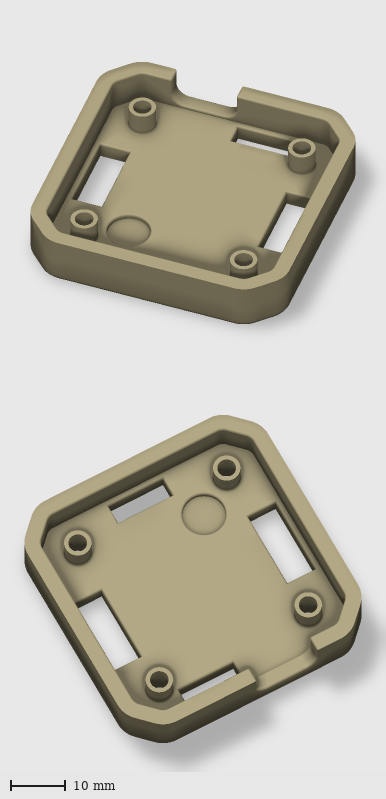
import cadquery as cq
import math

side = 49.9
height = 9.5
wall = 3.0
floor = 3.0
corner_chamfer = 5.75
corner_radius = 5.3
bottom_radius = 1.0
edge_radius = 0.4

outer_half = side / 2
inner_half = outer_half - wall

post_offset = 15.45
post_diameter = 5.0
bore_diameter = 3.4
post_top = 7.5

notch_left = -12.2
notch_width = 12.55
notch_bottom = 3.6
notch_radius = 2.5

side_window_x = 18.05
side_window_y = 0.6
side_window_size = (5.75, 14.95)
end_window_size = (11.35, 3.7)
windows = [
    (-side_window_x, side_window_y, *side_window_size),
    (side_window_x, side_window_y, *side_window_size),
    (6.75, 19.05, *end_window_size),
    (0.45, -19.05, *end_window_size),
]

recess_x = -8.4
recess_y = -11.15
recess_diameter = 8.0
recess_depth = 1.0


def rounded_octagon(inset, bottom, top):
    """Square prism with chamfered, rounded corners, moved inwards by inset."""
    width = side - 2 * inset
    chamfer = corner_chamfer - inset * (2 - math.sqrt(2))
    return (
        cq.Workplane("XY")
        .workplane(offset=bottom)
        .rect(width, width)
        .extrude(top - bottom)
        .edges("|Z")
        .chamfer(chamfer)
        .edges("|Z")
        .fillet(corner_radius - inset)
    )


def edges_in(lower, upper):
    """Selector for the edges centred between two corner points, with a little slack."""
    slack = 0.025
    return cq.selectors.BoxSelector(
        tuple(value - slack for value in lower),
        tuple(value + slack for value in upper),
    )


def make_tray():
    """Open tray with a rounded underside edge."""
    block = rounded_octagon(0, 0, height).faces("<Z").edges().fillet(bottom_radius)
    return block.cut(rounded_octagon(wall, floor, height))


def cut_notch(tray):
    """Cut the cable notch, then round its edges together with the inner rim."""
    notch_right = notch_left + notch_width
    notch = (
        cq.Workplane("XY")
        .box(notch_width, wall, height, centered=False)
        .edges("|Y and <Z")
        .fillet(notch_radius)
        .translate((notch_left, inner_half, notch_bottom))
    )
    inner_profile = edges_in(
        (notch_left, inner_half, notch_bottom), (notch_right, inner_half, height)
    )
    outer_profile = edges_in(
        (notch_left, outer_half, notch_bottom), (notch_right, outer_half, height)
    )
    top_corners = edges_in(
        (notch_left, inner_half, height), (notch_right, outer_half, height)
    )
    inner_rim = edges_in(
        (-inner_half, -inner_half, height), (inner_half, inner_half, height)
    )
    rounded = inner_profile + outer_profile + top_corners + inner_rim
    return tray.cut(notch).edges(rounded).fillet(edge_radius)


def cut_window(tray, x, y, size_x, size_y):
    """Cut a rectangular window through the floor and round its upper edge."""
    opening = cq.Workplane("XY").center(x, y).rect(size_x, size_y).extrude(floor)
    upper_edge = edges_in(
        (x - size_x / 2, y - size_y / 2, floor), (x + size_x / 2, y + size_y / 2, floor)
    )
    return tray.cut(opening).edges(upper_edge).fillet(edge_radius)


def cut_recess(tray):
    """Cut the blind round recess and round its upper edge."""
    pocket = (
        cq.Workplane("XY", origin=(recess_x, recess_y, floor - recess_depth))
        .circle(recess_diameter / 2)
        .extrude(recess_depth)
    )
    radius = recess_diameter / 2
    upper_edge = edges_in(
        (recess_x - radius, recess_y - radius, floor),
        (recess_x + radius, recess_y + radius, floor),
    )
    return tray.cut(pocket).edges(upper_edge).fillet(edge_radius)


def make_post():
    """Post on the Z axis that flares out to meet the floor in a fillet."""
    radius = post_diameter / 2
    flare = radius + edge_radius
    reach = edge_radius * math.sqrt(0.5)
    return (
        cq.Workplane("XZ")
        .moveTo(0, floor)
        .lineTo(flare, floor)
        .threePointArc(
            (flare - reach, floor + edge_radius - reach), (radius, floor + edge_radius)
        )
        .lineTo(radius, post_top)
        .lineTo(0, post_top)
        .close()
        .revolve(360, (0, 0, 0), (0, 1, 0))
    )


def add_posts(tray):
    """Add the four posts and bore each one through the floor."""
    post = make_post()
    bore = cq.Workplane("XY").circle(bore_diameter / 2).extrude(post_top)
    for x in (-post_offset, post_offset):
        for y in (-post_offset, post_offset):
            tray = tray.union(post.translate((x, y, 0)))
            tray = tray.cut(bore.translate((x, y, 0)))
    return tray


result = cut_notch(make_tray())
for window in windows:
    result = cut_window(result, *window)
result = add_posts(cut_recess(result))